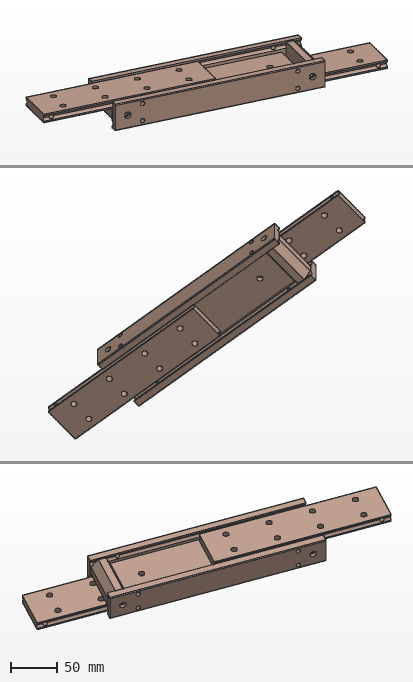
import cadquery as cq

length_overall = 410.0
width_overall = 70.0
height = 32.0

housing_length = 250.0
rail_width = 8.5
rail_chamfer = 1.02
web_length = 203.5
web_thickness = 7.0
web_hole_diameter = 6.5
web_hole_y = 75.5

slide_length = length_overall / 2
slide_width = 45.5
slide_thickness = 10.2
slide_inset = 0.5
slide_hole_diameter = 6.5
slide_hole_spacing_x = 25.0
slide_hole_pitch_y = 50.0
slide_hole_count = 4
slide_end_margin = 28.0
cross_hole_diameter = 5.5
cross_hole_margin = 10.0

groove_opening = 6.5
groove_depth = 2.0
groove_bulge = 0.25

block_length = 17.2
block_top_length = 8.5
block_seat = 5.0
block_slope_start = 6.0
block_clearance = 1.2
block_inset = 1.0

ball_hole_diameter = 5.0
ball_hole_y = 92.5
bolt_hole_diameter = 4.0
bolt_head_diameter = 7.5
bolt_head_depth = 4.0
bolt_y = 110.3

channel_width = width_overall - 2 * rail_width
slide_z = (height - slide_thickness) / 2 - slide_inset
signs = (1, -1)


def cross_cylinder(diameter, length, y, z):
    """A cylinder along X, centred on X = 0."""
    return cq.Workplane("YZ", origin=(-length / 2, y, z)).circle(diameter / 2).extrude(length)


def make_groove(x, z, direction):
    """A groove along Y in the side face at X = x, with its apex toward the given X direction."""
    half_opening = groove_opening / 2
    arc_x = direction * (groove_depth / 2 + groove_bulge)
    arc_z = half_opening / 2 + groove_bulge
    return (
        cq.Workplane("XZ", origin=(x, length_overall / 2, z))
        .moveTo(0, -half_opening)
        .threePointArc((arc_x, -arc_z), (direction * groove_depth, 0))
        .threePointArc((arc_x, arc_z), (0, half_opening))
        .close()
        .extrude(length_overall)
    )


def turned_over(body):
    """The same body turned half a turn about the X axis."""
    return body.rotate((0, 0, 0), (1, 0, 0), 180)


def cut_rail_grooves(housing):
    for side in signs:
        for level in signs:
            housing = housing.cut(make_groove(side * channel_width / 2, level * slide_z, side))
    return housing


def cut_ball_holes(housing):
    """Holes through both rails, in line with the grooves."""
    for end in signs:
        for level in signs:
            hole = cross_cylinder(ball_hole_diameter, width_overall, end * ball_hole_y, level * slide_z)
            housing = housing.cut(hole)
    return housing


def cut_bolt_holes(housing):
    """Counterbored holes through both rails, facing the end blocks."""
    for end in signs:
        housing = housing.cut(cross_cylinder(bolt_hole_diameter, width_overall, end * bolt_y, 0))
        head = cross_cylinder(bolt_head_diameter, 2 * bolt_head_depth, end * bolt_y, 0)
        for side in signs:
            housing = housing.cut(head.translate((side * width_overall / 2, 0, 0)))
    return housing


def cut_web_holes(housing):
    holes = (
        cq.Workplane("XY", origin=(0, 0, -web_thickness / 2))
        .pushPoints([(0, end * web_hole_y) for end in signs])
        .circle(web_hole_diameter / 2)
        .extrude(web_thickness)
    )
    return housing.cut(holes)


def make_housing():
    """Two rails joined by a shorter web, with the outer long edges chamfered."""
    rail = cq.Workplane("XY").box(rail_width, housing_length, height)
    rail_x = (channel_width + rail_width) / 2
    housing = cq.Workplane("XY").box(channel_width, web_length, web_thickness)
    for side in signs:
        housing = housing.union(rail.translate((side * rail_x, 0, 0)))
    housing = housing.edges("|Y and (>X or <X)").chamfer(rail_chamfer)
    housing = cut_rail_grooves(housing)
    housing = cut_ball_holes(housing)
    housing = cut_bolt_holes(housing)
    return cut_web_holes(housing)


def make_slide():
    """The upper slide, pulled out toward -Y."""
    slide = cq.Workplane("XY", origin=(0, -slide_length / 2, slide_z)).box(
        slide_width, slide_length, slide_thickness
    )
    for side in signs:
        slide = slide.cut(make_groove(side * slide_width / 2, slide_z, -side))
    points = [
        (side * slide_hole_spacing_x / 2, -slide_length + slide_end_margin + i * slide_hole_pitch_y)
        for side in signs
        for i in range(slide_hole_count)
    ]
    holes = (
        cq.Workplane("XY", origin=(0, 0, slide_z - slide_thickness / 2))
        .pushPoints(points)
        .circle(slide_hole_diameter / 2)
        .extrude(slide_thickness)
    )
    cross_hole = cross_cylinder(
        cross_hole_diameter, slide_width, -slide_length + cross_hole_margin, slide_z
    )
    return slide.cut(holes).cut(cross_hole)


def make_block():
    """The end block at +Y, with its outer top edge cut to a slope."""
    top = height / 2 - block_clearance
    outer = housing_length / 2 - block_inset
    inner = outer - block_length
    return (
        cq.Workplane("YZ", origin=(-channel_width / 2, 0, 0))
        .moveTo(inner, -block_seat)
        .lineTo(outer, -block_seat)
        .lineTo(outer, block_slope_start)
        .lineTo(inner + block_top_length, top)
        .lineTo(inner, top)
        .close()
        .extrude(channel_width)
    )


housing = make_housing()
upper_slide = make_slide()
lower_slide = turned_over(upper_slide)
back_block = make_block()
front_block = turned_over(back_block)

result = cq.Compound.makeCompound(
    [housing.val(), upper_slide.val(), lower_slide.val(), back_block.val(), front_block.val()]
)